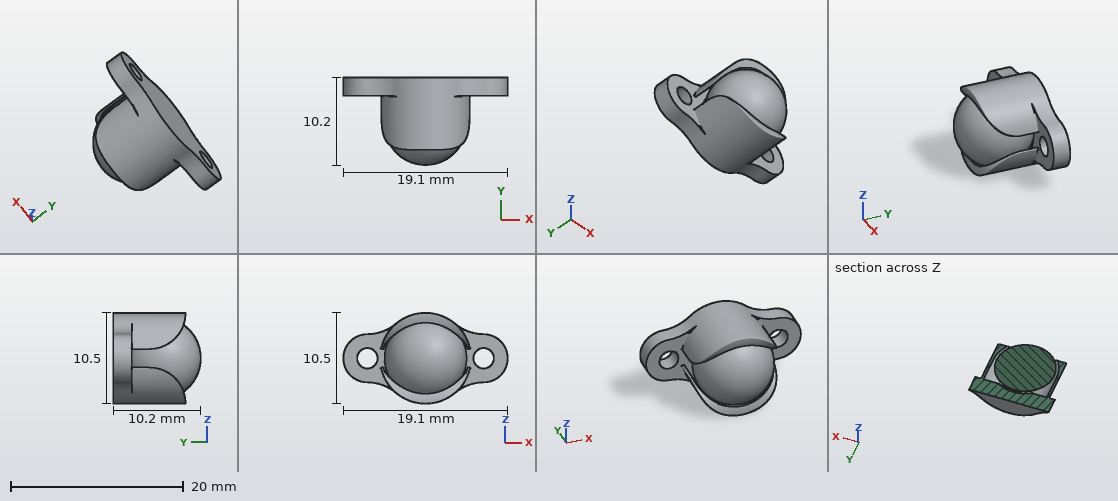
import cadquery as cq
import math

length = 19.05
lobe_radius = 2.8
hole_diameter = 2.35
flange_thickness = 2.11
shell_diameter = 10.53
shell_depth = 8.38
ball_radius = 4.76
total_depth = 10.15
socket_clearance = 0.23
slot_half_height = 1.07
edge_round = 0.1

shell_radius = shell_diameter / 2
lobe_x = length / 2 - lobe_radius
ball_y = ball_radius - total_depth
socket_radius = ball_radius + socket_clearance
scoop_radius = shell_radius - slot_half_height
scoop_start_y = scoop_radius - shell_depth

blend_radius = (lobe_x**2 + lobe_radius**2 - shell_radius**2) / (2 * (shell_radius - lobe_radius))
blend_z = lobe_radius + blend_radius
blend_angle = math.atan2(blend_z, lobe_x)
tangent_x = shell_radius * math.cos(blend_angle)
tangent_z = shell_radius * math.sin(blend_angle)
blend_mid_angle = (blend_angle + math.pi / 2) / 2
blend_mid_x = lobe_x - blend_radius * math.cos(blend_mid_angle)
blend_mid_z = blend_z - blend_radius * math.sin(blend_mid_angle)


def make_plate(thickness):
    """Two-lobed plate with a round middle."""
    return (
        cq.Workplane("XZ")
        .moveTo(-lobe_x, lobe_radius)
        .threePointArc((-blend_mid_x, blend_mid_z), (-tangent_x, tangent_z))
        .threePointArc((0, shell_radius), (tangent_x, tangent_z))
        .threePointArc((blend_mid_x, blend_mid_z), (lobe_x, lobe_radius))
        .threePointArc((length / 2, 0), (lobe_x, -lobe_radius))
        .threePointArc((blend_mid_x, -blend_mid_z), (tangent_x, -tangent_z))
        .threePointArc((0, -shell_radius), (-tangent_x, -tangent_z))
        .threePointArc((-blend_mid_x, -blend_mid_z), (-lobe_x, -lobe_radius))
        .threePointArc((-length / 2, 0), (-lobe_x, lobe_radius))
        .close()
        .extrude(thickness)
    )


def make_flange():
    """Plate with a mounting hole in each lobe."""
    holes = (
        cq.Workplane("XZ")
        .pushPoints([(-lobe_x, 0), (lobe_x, 0)])
        .circle(hole_diameter / 2)
        .extrude(flange_thickness)
    )
    return make_plate(flange_thickness).cut(holes)


def make_scoop():
    """Slot between the two arms, flaring out to the shell's full height at the front."""
    mid = scoop_radius * math.sqrt(0.5)
    return (
        cq.Workplane("YZ")
        .moveTo(-flange_thickness, slot_half_height)
        .lineTo(scoop_start_y, slot_half_height)
        .threePointArc((scoop_start_y - mid, shell_radius - mid), (-shell_depth, shell_radius))
        .lineTo(-shell_depth, -shell_radius)
        .threePointArc((scoop_start_y - mid, mid - shell_radius), (scoop_start_y, -slot_half_height))
        .lineTo(-flange_thickness, -slot_half_height)
        .close()
        .extrude(shell_radius + edge_round, both=True)
    )


def make_socket():
    """Round-bottomed bore that holds the ball with a small clearance."""
    bore = (
        cq.Workplane("XZ", origin=(0, -flange_thickness, 0))
        .circle(socket_radius)
        .extrude(-flange_thickness - ball_y)
    )
    return cq.Workplane("XY").sphere(socket_radius).translate((0, ball_y, 0)).union(bore)


def make_root_fillet():
    """Concave fillet around the foot of the arms, kept within the plate outline."""
    outer = shell_radius + edge_round
    foot_y = -flange_thickness
    top_y = foot_y - edge_round
    sag = edge_round * math.sqrt(0.5)
    ring = (
        cq.Workplane("XY")
        .moveTo(socket_radius, foot_y)
        .lineTo(outer, foot_y)
        .threePointArc((outer - sag, top_y + sag), (shell_radius, top_y))
        .lineTo(socket_radius, top_y)
        .close()
        .revolve(360, (0, 0, 0), (0, 1, 0))
    )
    slot = cq.Workplane("XY").box(length, shell_depth * 2, 2 * (slot_half_height + edge_round))
    return ring.cut(slot).intersect(make_plate(flange_thickness + edge_round))


def make_housing():
    """Flange with two ball-retaining arms and the socket between them."""
    shell = cq.Workplane("XZ").circle(shell_radius).extrude(shell_depth)
    arms = shell.cut(make_scoop())
    front_box = cq.selectors.BoxSelector(
        (-length, -total_depth, -length), (length, -flange_thickness - edge_round, length)
    )
    rim = arms.faces("%CYLINDER").edges("not(|X)").edges(front_box)
    rounded_arms = rim.fillet(edge_round)
    return make_flange().union(rounded_arms).union(make_root_fillet()).cut(make_socket())


def make_ball():
    return cq.Workplane("XY").sphere(ball_radius).translate((0, ball_y, 0))


housing = make_housing()
ball = make_ball()
result = cq.Compound.makeCompound([housing.val(), ball.val()])